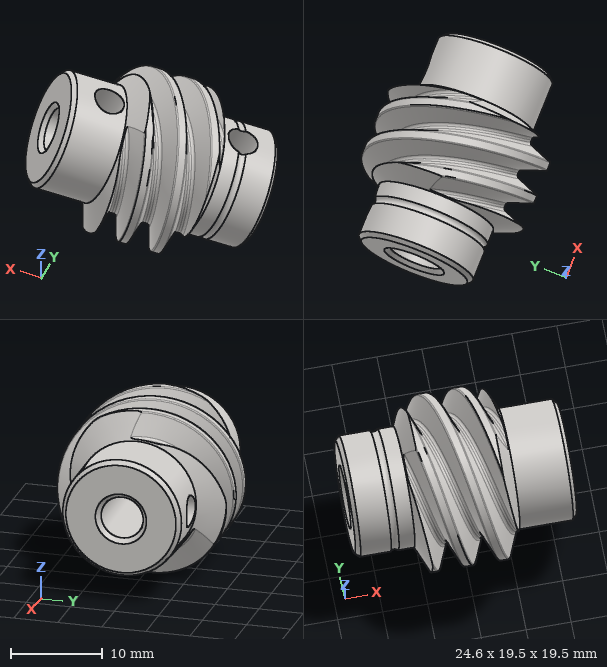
import cadquery as cq
import math

length = 24.6
journal_radius = 6.75
end_chamfer = 0.5

thread_start = 6.52
thread_end = 18.18
crest_radius = 9.755
thread_end_taper = 1.4
thread_middle = (thread_start + thread_end) / 2

module = 1.25
starts = 3
axial_pitch = math.pi * module
lead = starts * axial_pitch
pitch_radius = crest_radius - module
root_radius = pitch_radius - 1.25 * module
flank_angle = math.radians(20.5)
crest_fillet = 0.2
root_fillet = 0.37
crest_clearance = 0.005
cutter_overrun = 0.5
cutter_pitches = 4.6
seam_turn = 99

groove_middle = 4.33
groove_width = 0.85
groove_depth = 0.2

large_bore_radius = 3.0
small_bore_radius = 2.39
bore_chamfer = 0.52
bore_step = length / 2

screw_hole_radius = 1.75
screw_hole_inset = 4.33


def make_blank():
    """Journals, tapered thread collar and relief groove as one turned body."""
    chamfer_radius = journal_radius - end_chamfer
    return (
        cq.Workplane("XY")
        .moveTo(0, 0)
        .lineTo(0, chamfer_radius)
        .lineTo(end_chamfer, journal_radius)
        .lineTo(groove_middle - groove_width / 2, journal_radius)
        .threePointArc(
            (groove_middle, journal_radius - groove_depth),
            (groove_middle + groove_width / 2, journal_radius),
        )
        .lineTo(thread_start, journal_radius)
        .lineTo(thread_start + thread_end_taper, crest_radius)
        .lineTo(thread_end - thread_end_taper, crest_radius)
        .lineTo(thread_end, journal_radius)
        .lineTo(length - end_chamfer, journal_radius)
        .lineTo(length, chamfer_radius)
        .lineTo(length, 0)
        .close()
        .revolve(360, (0, 0, 0), (1, 0, 0))
    )


def groove_profile():
    """Axial section of one thread space; local x is radius, local y is axial."""
    arc_turn = math.pi / 2 - flank_angle
    half_turn = arc_turn / 2

    def flank_half_width(radius):
        return axial_pitch / 4 + (radius - pitch_radius) * math.tan(flank_angle)

    def on_arc(center, fillet, turn):
        """Point on a fillet arc, turned from the radial direction."""
        return (center[0] + fillet * math.cos(turn), center[1] + abs(fillet) * math.sin(turn))

    top = crest_radius + crest_clearance
    crest_center = (
        top - crest_fillet,
        flank_half_width(top) + crest_fillet * math.tan(half_turn),
    )
    root_center = (
        root_radius + root_fillet,
        flank_half_width(root_radius) - root_fillet * math.tan(half_turn),
    )
    crest_points = [on_arc(crest_center, crest_fillet, -turn) for turn in (0, half_turn, arc_turn)]
    root_points = [on_arc(root_center, -root_fillet, turn) for turn in (arc_turn, half_turn, 0)]

    def mirrored(point):
        return (point[0], -point[1])

    outside = (crest_radius + cutter_overrun, crest_center[1])
    return (
        cq.Workplane("XZ")
        .moveTo(*outside)
        .lineTo(*crest_points[0])
        .threePointArc(crest_points[1], crest_points[2])
        .lineTo(*root_points[0])
        .threePointArc(root_points[1], root_points[2])
        .lineTo(*mirrored(root_points[2]))
        .threePointArc(mirrored(root_points[1]), mirrored(root_points[0]))
        .lineTo(*mirrored(crest_points[2]))
        .threePointArc(mirrored(crest_points[1]), mirrored(crest_points[0]))
        .lineTo(*mirrored(outside))
        .close()
    )


def make_thread_cutter():
    """Helical thread space, placed so a crest is at mid-thread on the +Z side."""
    cutter_length = cutter_pitches * axial_pitch
    helix = cq.Wire.makeHelix(lead, cutter_length, pitch_radius)
    cutter = groove_profile().sweep(cq.Workplane(obj=helix), isFrenet=True).val()
    placement = cq.Plane(
        origin=(thread_middle - cutter_length / 2, 0, 0),
        xDir=(0, 0, 1),
        normal=(1, 0, 0),
    )
    phase = -360 / starts * (cutter_pitches - 1) / 2
    return cutter.moved(cq.Location(placement)).rotate((0, 0, 0), (1, 0, 0), phase)


def make_bore():
    """Large bore from the -X end stepping to a small one, chamfered at both mouths."""
    return (
        cq.Workplane("XY")
        .polyline([
            (0, 0),
            (0, large_bore_radius + bore_chamfer),
            (bore_chamfer, large_bore_radius),
            (bore_step, large_bore_radius),
            (bore_step, small_bore_radius),
            (length - bore_chamfer, small_bore_radius),
            (length, small_bore_radius + bore_chamfer),
            (length, 0),
        ])
        .close()
        .revolve(360, (0, 0, 0), (1, 0, 0))
    )


def make_screw_hole(x):
    """Radial hole from the axis out through the +Y side."""
    return cq.Workplane("XZ", origin=(x, 0, 0)).circle(screw_hole_radius).extrude(-crest_radius)


result = make_blank().rotate((0, 0, 0), (1, 0, 0), seam_turn)
thread_cutter = make_thread_cutter()
for start in range(starts):
    angle = 360 / starts * start
    result = result.cut(cq.Workplane(obj=thread_cutter.rotate((0, 0, 0), (1, 0, 0), angle)))
result = result.cut(make_bore())
for hole_x in (screw_hole_inset, length - screw_hole_inset):
    result = result.cut(make_screw_hole(hole_x))